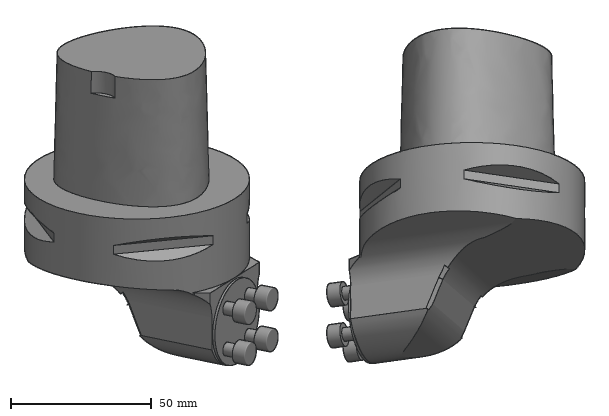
import cadquery as cq
import math

FLANGE_DIA = 80.0
FLANGE_R = FLANGE_DIA / 2
BOTTOM_Z = -62.4
SKIRT_Z = -25.5
SKIRT_ANGLE = 10

SHANK_HEIGHT = 47.9
SHANK_BASE_R = 27.6
SHANK_TAPER = 1 / 40
LOBE_OFFSET = 2.0
SHANK_POINTS = 48

NOTCH_R = 7.0
NOTCH_Y = -29.2
NOTCH_DEPTH = 8.2

NECK_HALF_WIDTH = 16.3
NECK_FILLET_R = 12.1
NECK_END_SAGITTA = 10.4

BACK_TOP = (5.2, -41.6)
BACK_BOTTOM = (9.0, -50.3)
BACK_ARC_START_X = -13.0
BACK_ARC_MID = (-0.8, -34.5)
NOSE_ARC_MID = (17.4, -59.0)
NOSE_END_X = 34.2
BACK_CHAMFER = 1.2
BEVEL_ARC_START = 0.8

PAD_TOP_Z = -30.0
PAD_FACE_HALF_WIDTH = 17.6
PAD_ROOT_X = 35.1
PAD_ROOT_HALF_WIDTH = 20.3
PAD_INNER_X = 27.6

FACE_R = 15.9
FACE_THICKNESS = 1.0
FACE_Z = BOTTOM_Z + FACE_R
SCREW_PITCH = 15.5
SCREW_DIA = 5.0
SCREW_LENGTH = 4.9
HEAD_DIA = 8.5
HEAD_LENGTH = 5.2
HEAD_FILLET = 0.3

GROOVE_Z = -12.0
GROOVE_FLOOR_R = 35.5
GROOVE_FLOOR_WIDTH = 3.3
GROOVE_MOUTH_WIDTH = 8.6


def drop(length):
    """Fall of the sloping underside over a horizontal length."""
    return length * math.tan(math.radians(SKIRT_ANGLE))


def back_arc_start_z():
    return SKIRT_Z - drop(FLANGE_R + BACK_ARC_START_X)


def lobed_wire(radius, z):
    """Closed three-lobed curve with one lobe toward +Y."""
    points = []
    for i in range(SHANK_POINTS):
        t = 2 * math.pi * i / SHANK_POINTS
        x = radius * math.sin(t) - LOBE_OFFSET * math.sin(2 * t)
        y = radius * math.cos(t) + LOBE_OFFSET * math.cos(2 * t)
        points.append(cq.Vector(x, y, z))
    return cq.Wire.assembleEdges([cq.Edge.makeSpline(points, periodic=True)])


def make_shank():
    base = lobed_wire(SHANK_BASE_R, 0)
    top = lobed_wire(SHANK_BASE_R - SHANK_HEIGHT * SHANK_TAPER, SHANK_HEIGHT)
    shank = cq.Workplane(cq.Solid.makeLoft([base, top], True))
    notch = (
        cq.Workplane("XY", origin=(0, NOTCH_Y, SHANK_HEIGHT - NOTCH_DEPTH))
        .circle(NOTCH_R)
        .extrude(NOTCH_DEPTH)
    )
    return shank.cut(notch)


def make_stock():
    """Flange cylinder joined by the bevelled pad on the +X side."""
    cylinder = cq.Workplane("XY").circle(FLANGE_R).extrude(BOTTOM_Z)
    pad = (
        cq.Workplane("XY", origin=(0, 0, PAD_TOP_Z))
        .polyline([
            (PAD_INNER_X, -PAD_ROOT_HALF_WIDTH),
            (PAD_ROOT_X, -PAD_ROOT_HALF_WIDTH),
            (FLANGE_R, -PAD_FACE_HALF_WIDTH),
            (FLANGE_R, PAD_FACE_HALF_WIDTH),
            (PAD_ROOT_X, PAD_ROOT_HALF_WIDTH),
            (PAD_INNER_X, PAD_ROOT_HALF_WIDTH),
        ])
        .close()
        .extrude(BOTTOM_Z - PAD_TOP_Z)
    )
    return cylinder.union(pad)


def make_back_profile():
    """Outline in XZ, extruded along Y."""
    return (
        cq.Workplane("XZ")
        .moveTo(-FLANGE_R, 0)
        .lineTo(-FLANGE_R, SKIRT_Z)
        .lineTo(BACK_ARC_START_X, back_arc_start_z())
        .threePointArc(BACK_ARC_MID, BACK_TOP)
        .lineTo(*BACK_BOTTOM)
        .threePointArc(NOSE_ARC_MID, (NOSE_END_X, BOTTOM_Z))
        .lineTo(FLANGE_R, BOTTOM_Z)
        .lineTo(FLANGE_R, 0)
        .close()
        .extrude(FLANGE_R, both=True)
    )


def make_neck_profile():
    """Outline in YZ, symmetric about Y = 0, extruded along X."""
    w = NECK_HALF_WIDTH
    tangent = NECK_FILLET_R * math.tan(math.radians(90 - SKIRT_ANGLE) / 2)
    corner_z = SKIRT_Z - drop(FLANGE_R - w)
    slope = math.radians(SKIRT_ANGLE)
    start_y = w + tangent * math.cos(slope)
    start_z = corner_z + tangent * math.sin(slope)
    wall_top_z = corner_z - tangent
    bisector = math.radians(180 - (90 - SKIRT_ANGLE) / 2)
    mid_y = w + NECK_FILLET_R * (1 + math.cos(bisector))
    mid_z = wall_top_z + NECK_FILLET_R * math.sin(bisector)
    wall_bottom_z = BOTTOM_Z + NECK_END_SAGITTA
    return (
        cq.Workplane("YZ")
        .moveTo(FLANGE_R, 0)
        .lineTo(FLANGE_R, SKIRT_Z)
        .lineTo(start_y, start_z)
        .threePointArc((mid_y, mid_z), (w, wall_top_z))
        .lineTo(w, wall_bottom_z)
        .threePointArc((0, BOTTOM_Z), (-w, wall_bottom_z))
        .lineTo(-w, wall_top_z)
        .threePointArc((-mid_y, mid_z), (-start_y, start_z))
        .lineTo(-FLANGE_R, SKIRT_Z)
        .lineTo(-FLANGE_R, 0)
        .close()
        .extrude(FLANGE_R, both=True)
    )


def cut_grooves(body):
    reach = FLANGE_R - GROOVE_FLOOR_R
    flare = (GROOVE_MOUTH_WIDTH - GROOVE_FLOOR_WIDTH) / 2
    half_floor = GROOVE_FLOOR_WIDTH / 2
    half_outer = half_floor + 2 * flare
    outer_r = FLANGE_R + reach
    groove = (
        cq.Workplane("XZ")
        .polyline([
            (GROOVE_FLOOR_R, GROOVE_Z - half_floor),
            (outer_r, GROOVE_Z - half_outer),
            (outer_r, GROOVE_Z + half_outer),
            (GROOVE_FLOOR_R, GROOVE_Z + half_floor),
        ])
        .close()
        .extrude(FLANGE_R, both=True)
    )
    for angle in (45, 135, 225, 315):
        body = body.cut(groove.rotate((0, 0, 0), (0, 0, 1), angle))
    return body


def chamfer_back(body):
    """Bevel the edges between the neck sides and its back face."""
    top = cq.Vector(BACK_TOP[0], 0, BACK_TOP[1])
    bottom = cq.Vector(BACK_BOTTOM[0], 0, BACK_BOTTOM[1])
    back_arc = cq.Edge.makeThreePointArc(
        cq.Vector(BACK_ARC_START_X, 0, back_arc_start_z()),
        cq.Vector(BACK_ARC_MID[0], 0, BACK_ARC_MID[1]),
        top,
    )
    start = back_arc.positionAt(BEVEL_ARC_START)
    middle = back_arc.positionAt((BEVEL_ARC_START + 1) / 2)
    overrun = (bottom - top).normalized() * (2 * BACK_CHAMFER)
    paths = [
        cq.Edge.makeThreePointArc(start, middle, top),
        cq.Edge.makeLine(top, bottom + overrun),
    ]
    w = NECK_HALF_WIDTH
    for path in paths:
        section_plane = cq.Plane(path.startPoint(), xDir=(0, -1, 0), normal=path.tangentAt(0))
        wedge = (
            cq.Workplane(section_plane)
            .polyline([
                (w - 2 * BACK_CHAMFER, BACK_CHAMFER),
                (w + BACK_CHAMFER, BACK_CHAMFER),
                (w + BACK_CHAMFER, -2 * BACK_CHAMFER),
            ])
            .close()
            .sweep(cq.Workplane(path))
        )
        body = body.cut(wedge).cut(wedge.mirror("XZ"))
    return body


def add_mounting_face(body):
    face_x = FLANGE_R + FACE_THICKNESS
    disc = cq.Workplane("YZ", origin=(FLANGE_R, 0, FACE_Z)).circle(FACE_R).extrude(FACE_THICKNESS)
    shanks = (
        cq.Workplane("YZ", origin=(face_x, 0, FACE_Z))
        .rarray(SCREW_PITCH, SCREW_PITCH, 2, 2)
        .circle(SCREW_DIA / 2)
        .extrude(SCREW_LENGTH)
    )
    heads = (
        cq.Workplane("YZ", origin=(face_x + SCREW_LENGTH, 0, FACE_Z))
        .rarray(SCREW_PITCH, SCREW_PITCH, 2, 2)
        .circle(HEAD_DIA / 2)
        .extrude(HEAD_LENGTH)
        .faces(">X")
        .edges()
        .fillet(HEAD_FILLET)
    )
    return body.union(disc).union(shanks).union(heads)


body = make_stock().intersect(make_back_profile()).intersect(make_neck_profile())
body = chamfer_back(body)
body = cut_grooves(body)
body = add_mounting_face(body)
result = body.union(make_shank())